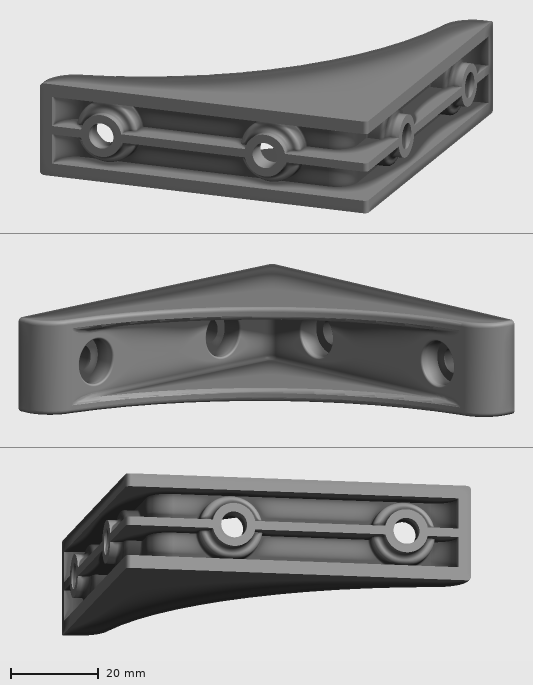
import cadquery as cq
import math

side = 80.0
height = 22.0
rib_thickness = 2.0
wall = 1.5 * rib_thickness
edge_radius = rib_thickness / 2

tip_radius = 8.0
tip_flat = 2.0
tip_arc_end = 7.2
concave_radius = 80.0

pocket_offset = 10.0
pocket_corner_radius = 2.0

hole_diameter = 6.0
counterbore_diameter = 10.5
counterbore_edge_radius = 0.5
boss_diameter = 10.0
boss_head_diameter = 14.7
boss_head_height = 4.0
boss_root_radius = 0.4
floor_thickness = 2.0
hole_spacing = 40.0
first_hole = pocket_offset + boss_diameter / 2
hole_positions = (first_hole, first_hole + hole_spacing)

cavity_offset = pocket_offset - wall
mid_z = height / 2
half_root = math.sqrt(0.5)
margin = 0.1


def mirror_point(point):
    """Reflect a point in the diagonal through the two tips."""
    return (side - point[1], side - point[0])


def mirror_part(shape):
    """Reflect a solid in the diagonal plane through the two tips."""
    return shape.mirror("XZ").rotate((0, 0, 0), (0, 0, 1), -90).translate((side, side, 0))


def tip_point(radius, x):
    """Point at x on an arc about the centre of the tip rounding."""
    return (x, tip_flat + math.sqrt(radius**2 - (tip_radius - x) ** 2))


def tip_mid_point(radius):
    """Point halfway round a quarter arc about the tip centre."""
    return (tip_radius - radius * half_root, tip_flat + radius * half_root)


def concave_center():
    """Centre of the concave arc, on the diagonal through the square corner."""
    end_x, end_y = tip_point(tip_radius, tip_arc_end)
    half_chord = (side - end_x - end_y) * half_root
    chord_mid = (side + end_x - end_y) / 2
    shift = math.sqrt(concave_radius**2 - half_chord**2) * half_root
    return (chord_mid - shift, side - chord_mid + shift)


def make_body():
    """Full-height block with rounded outer edges."""
    start = (0, tip_flat)
    mid = tip_mid_point(tip_radius)
    end = tip_point(tip_radius, tip_arc_end)
    center_x, center_y = concave_center()
    arc_reach = concave_radius * half_root
    body = (
        cq.Workplane("XY")
        .lineTo(*start)
        .threePointArc(mid, end)
        .threePointArc((center_x + arc_reach, center_y - arc_reach), mirror_point(end))
        .threePointArc(mirror_point(mid), mirror_point(start))
        .lineTo(side, side)
        .lineTo(side, 0)
        .close()
        .extrude(height)
    )
    concave_side = cq.selectors.BoxSelector(
        (-margin, margin, -margin), (side - margin, side + margin, height + margin)
    )
    body = body.faces("<Z or >Z").edges(concave_side).fillet(edge_radius)
    return body.edges("|Z and >X and <Y").fillet(edge_radius)


def make_pocket():
    """Space between the plates, flaring at the rim and rounded along its floor."""
    center_x, center_y = concave_center()
    flare_z = wall - edge_radius
    flare_mid = edge_radius * (1 - half_root)
    half_flare = (
        cq.Workplane("XZ")
        .moveTo(concave_radius / 2, mid_z)
        .lineTo(concave_radius / 2, edge_radius)
        .lineTo(concave_radius, edge_radius)
        .lineTo(concave_radius, flare_z)
        .threePointArc(
            (concave_radius + flare_mid, wall - flare_mid),
            (concave_radius + edge_radius, wall),
        )
        .lineTo(2 * concave_radius, wall)
        .lineTo(2 * concave_radius, mid_z)
        .close()
        .revolve(360, (0, 0, 0), (0, 1, 0))
        .translate((center_x, center_y, 0))
    )
    flare = half_flare.union(half_flare.mirror("XY", (0, 0, mid_z)))
    bounds = (
        cq.Workplane("XY")
        .moveTo(0, pocket_offset)
        .lineTo(side - pocket_offset, pocket_offset)
        .lineTo(side - pocket_offset, side)
        .lineTo(0, side)
        .close()
        .extrude(height)
        .edges("|Z and >X and <Y")
        .fillet(pocket_corner_radius)
    )
    near, far = tip_radius, side - tip_radius
    floor_bottom, floor_top = flare_z + margin, height - flare_z - margin
    front_floor = cq.selectors.BoxSelector((near, near, floor_bottom), (far, 2 * near, floor_top))
    side_floor = cq.selectors.BoxSelector((far - near, near, floor_bottom), (far, far, floor_top))
    pocket = bounds.intersect(flare)
    return pocket.edges(front_floor + side_floor).edges("not |Z").fillet(edge_radius)


def make_cavity():
    """Cavity along the two straight sides, split by the middle rib."""
    inner_radius = tip_radius - wall
    bend_start = (side - cavity_offset - inner_radius, cavity_offset)
    bend_mid = (
        bend_start[0] + inner_radius * half_root,
        cavity_offset + inner_radius * (1 - half_root),
    )
    tip_mid = tip_mid_point(inner_radius)
    profile = (
        cq.Workplane("XY", origin=(0, 0, wall))
        .moveTo(wall, 0)
        .lineTo(wall, tip_flat)
        .threePointArc(tip_mid, (tip_radius, cavity_offset))
        .lineTo(*bend_start)
        .threePointArc(bend_mid, mirror_point(bend_start))
        .lineTo(*mirror_point((tip_radius, cavity_offset)))
        .threePointArc(mirror_point(tip_mid), mirror_point((wall, tip_flat)))
        .lineTo(side, side - wall)
        .lineTo(side, 0)
        .close()
    )
    cavity = profile.extrude(height - 2 * wall)
    rib = cq.Workplane("XY", origin=(side / 2, side / 2, mid_z)).box(side, side, rib_thickness)
    return cavity.cut(rib)


def make_boss(x):
    """Stepped screw boss around an axis along Y at the given x."""
    stem = boss_diameter / 2
    head = boss_head_diameter / 2
    step = cavity_offset - boss_head_height
    step_mid = edge_radius * (1 - half_root)
    base = pocket_offset - wall / 2
    root_mid = boss_root_radius * (1 - half_root)
    return (
        cq.Workplane("XY")
        .lineTo(stem, 0)
        .lineTo(stem, step - edge_radius)
        .threePointArc((stem + step_mid, step - step_mid), (stem + edge_radius, step))
        .lineTo(head - edge_radius, step)
        .threePointArc((head - step_mid, step + step_mid), (head, step + edge_radius))
        .lineTo(head, cavity_offset - boss_root_radius)
        .threePointArc(
            (head + root_mid, cavity_offset - root_mid),
            (head + boss_root_radius, cavity_offset),
        )
        .lineTo(head + boss_root_radius, base)
        .lineTo(0, base)
        .close()
        .revolve(360, (0, 0, 0), (0, 1, 0))
        .translate((x, 0, mid_z))
    )


def make_hole(x):
    """Counterbored through hole along Y, its mouth rounded."""
    bore = counterbore_diameter / 2
    bore_floor = cavity_offset - boss_head_height + floor_thickness
    mouth = pocket_offset - counterbore_edge_radius
    mouth_mid = counterbore_edge_radius * (1 - half_root)
    return (
        cq.Workplane("XY")
        .lineTo(hole_diameter / 2, 0)
        .lineTo(hole_diameter / 2, bore_floor)
        .lineTo(bore, bore_floor)
        .lineTo(bore, mouth)
        .threePointArc(
            (bore + mouth_mid, pocket_offset - mouth_mid),
            (bore + counterbore_edge_radius, pocket_offset),
        )
        .lineTo(0, pocket_offset)
        .close()
        .revolve(360, (0, 0, 0), (0, 1, 0))
        .translate((x, 0, mid_z))
    )


result = make_body().cut(make_pocket()).cut(make_cavity())
for position in hole_positions:
    boss = make_boss(position)
    hole = make_hole(position)
    result = result.union(boss).union(mirror_part(boss))
    result = result.cut(hole).cut(mirror_part(hole))